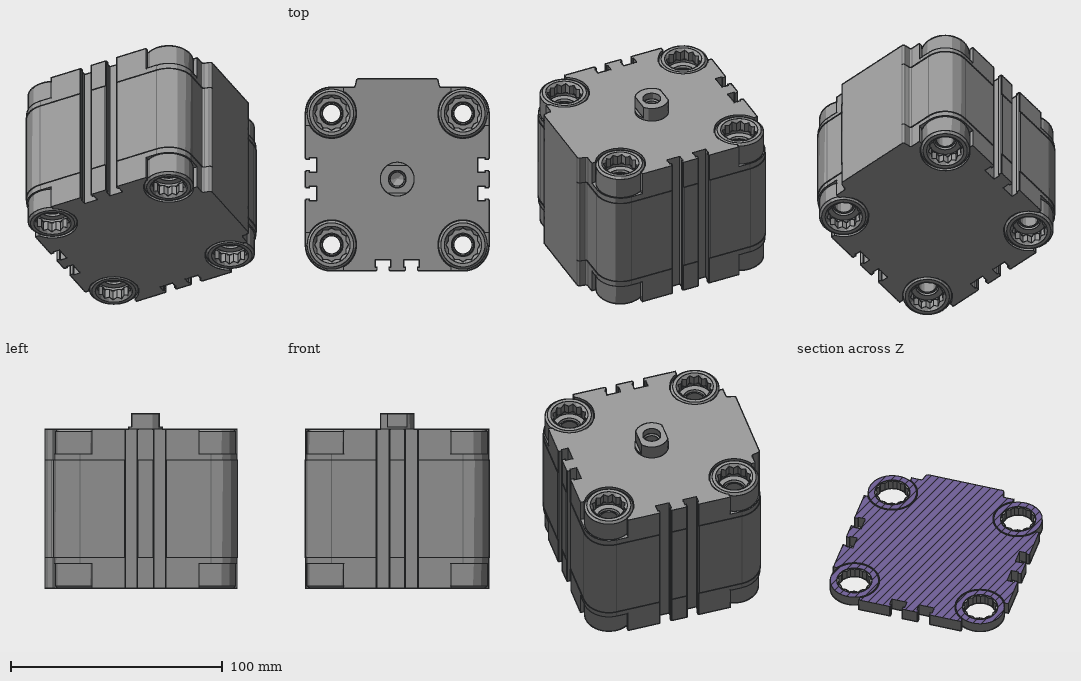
import cadquery as cq
import math

HOUSING_WIDTH = 87.0
OVERALL_DEPTH = 91
HOUSING_HEIGHT = 75.2
CAP_HEIGHT = 14.65
CAP_SETBACK = 0.3
CORNER_SPACING = 62.1
HALF_WIDTH = HOUSING_WIDTH / 2
CORNER_RADIUS = (HOUSING_WIDTH - CORNER_SPACING) / 2

RAIL_REACH = OVERALL_DEPTH - HALF_WIDTH
RAIL_BASE_WIDTH = 40
RAIL_TOP_WIDTH = 38.2
RAIL_EDGE_RADIUS = 1.3
RAIL_ROOT_RADIUS = 1.0
ROOT_SEARCH_MARGIN = 0.1

SLOT_SPACING = 13.5
SLOT_DEPTH = 5.4
SLOT_LIP_DEPTH = 2.0
SLOT_LIP_RADIUS = 0.5
SIDE_SLOT_OPENING = 5.3
SIDE_SLOT_WIDTH = 6.7
FRONT_SLOT_OPENING = 5.6
FRONT_SLOT_WIDTH = 7.3

BOSS_DIAMETER = 23.0
BOSS_HEIGHT = 11.65
BOSS_CHAMFER = 1.1
POCKET_DIAMETER = 23.7
POCKET_INNER_REACH = 5.7

SOCKET_MOUTH_DIAMETER = 17.6
SOCKET_CONE_HALF_ANGLE = 45
SOCKET_POINT_DIAMETER = 16.0
HEXAGON_TURN = 30
SOCKET_STAR_DEPTH = 6.1
SOCKET_FLOOR_DIAMETER = 16.5
SOCKET_DEPTH = 8.0

HOLE_DIAMETER = 8.55
HOLE_MOUTH_DIAMETER = 11.0
HOLE_LEDGE_DIAMETER = 10
HOLE_MOUTH_DEPTH = 1.0

ROD_DIAMETER = 16.0
ROD_PROTRUSION = 7.4
ROD_FLATS_WIDTH = 13.1
ROD_FLATS_LENGTH = 6.3
ROD_SEAT_DEPTH = CAP_HEIGHT
ROD_MOUTH_DIAMETER = 8.4
ROD_MOUTH_DEPTH = 3.3
ROD_CONE_DIAMETER = 8.0
ROD_CONE_DEPTH = 0.7
ROD_HOLE_DIAMETER = 6.6
ROD_HOLE_DEPTH = 14.6
DRILL_TIP_HALF_ANGLE = 59

ROD_BOTTOM = HOUSING_HEIGHT - ROD_SEAT_DEPTH
ROD_TOP = HOUSING_HEIGHT + ROD_PROTRUSION
CORNER_SIGNS = [(1, 1), (1, -1), (-1, 1), (-1, -1)]


def cylinder(diameter, bottom, height):
    return cq.Workplane("XY").workplane(offset=bottom).circle(diameter / 2).extrude(height)


def cone(bottom_diameter, top_diameter, bottom, height):
    """A truncated cone on the Z axis, or a pointed one if a diameter is 0."""
    solid = cq.Solid.makeCone(bottom_diameter / 2, top_diameter / 2, height, cq.Vector(0, 0, bottom))
    return cq.Workplane(obj=solid)


def at_both_ends(feature):
    """The feature at the top of the housing together with its mirror image at the bottom."""
    return feature.union(feature.mirror("XY", (0, 0, HOUSING_HEIGHT / 2)))


def outline_prism(setback, bottom, height):
    """A length of the rounded square, moved inward by the setback, with the rail on it."""
    width = HOUSING_WIDTH - 2 * setback
    face = width / 2
    square = (
        cq.Workplane("XY").workplane(offset=bottom).rect(width, width).extrude(height)
        .edges("|Z").fillet(CORNER_RADIUS - setback)
    )
    rail = (
        cq.Workplane("XY").workplane(offset=bottom)
        .polyline([
            (-RAIL_BASE_WIDTH / 2, 0),
            (-RAIL_BASE_WIDTH / 2, face),
            (-RAIL_TOP_WIDTH / 2, RAIL_REACH),
            (RAIL_TOP_WIDTH / 2, RAIL_REACH),
            (RAIL_BASE_WIDTH / 2, face),
            (RAIL_BASE_WIDTH / 2, 0),
        ])
        .close().extrude(height)
        .edges("|Z").edges(">Y").fillet(RAIL_EDGE_RADIUS)
    )
    body = square.union(rail)
    root = cq.selectors.BoxSelector(
        (-RAIL_BASE_WIDTH, face - ROOT_SEARCH_MARGIN, bottom),
        (RAIL_BASE_WIDTH, face + ROOT_SEARCH_MARGIN, bottom + height),
    )
    return body.edges("|Z").edges(root).fillet(RAIL_ROOT_RADIUS)


def slot_pair(opening, width):
    """Two T-slots running along Z, cut into the -Y face."""
    floor = -HALF_WIDTH + SLOT_DEPTH
    lip = -HALF_WIDTH + SLOT_LIP_DEPTH
    lip_curve_end = -HALF_WIDTH + SLOT_LIP_RADIUS
    mouth = opening + 2 * SLOT_LIP_RADIUS
    slot = (
        cq.Workplane("XY")
        .moveTo(mouth / 2, -HALF_WIDTH)
        .radiusArc((opening / 2, lip_curve_end), -SLOT_LIP_RADIUS)
        .lineTo(opening / 2, lip)
        .lineTo(width / 2, lip)
        .lineTo(width / 2, floor)
        .lineTo(-width / 2, floor)
        .lineTo(-width / 2, lip)
        .lineTo(-opening / 2, lip)
        .lineTo(-opening / 2, lip_curve_end)
        .radiusArc((-mouth / 2, -HALF_WIDTH), -SLOT_LIP_RADIUS)
        .close().extrude(HOUSING_HEIGHT)
    )
    return slot.translate((-SLOT_SPACING / 2, 0, 0)).union(slot.translate((SLOT_SPACING / 2, 0, 0)))


def cut_slots(housing):
    side_slots = slot_pair(SIDE_SLOT_OPENING, SIDE_SLOT_WIDTH)
    for angle in (-90, 90):
        housing = housing.cut(side_slots.rotate((0, 0, 0), (0, 0, 1), angle))
    return housing.cut(slot_pair(FRONT_SLOT_OPENING, FRONT_SLOT_WIDTH))


def boss_clearance():
    """Material removed around the top boss of the +X +Y corner, with the boss on the Z axis."""
    bottom = HOUSING_HEIGHT - BOSS_HEIGHT
    boss = cylinder(BOSS_DIAMETER, bottom, BOSS_HEIGHT).faces(">Z").chamfer(BOSS_CHAMFER)
    side = CORNER_RADIUS + POCKET_INNER_REACH
    centre = (CORNER_RADIUS - POCKET_INNER_REACH) / 2
    corner_block = (
        cq.Workplane("XY").workplane(offset=bottom)
        .center(centre, centre).rect(side, side).extrude(BOSS_HEIGHT)
    )
    return corner_block.union(cylinder(POCKET_DIAMETER, bottom, BOSS_HEIGHT)).cut(boss)


def socket():
    """Conical mouth, twelve-point star and round floor recess of one top boss, on the Z axis."""
    cone_depth = SOCKET_MOUTH_DIAMETER / 2 / math.tan(math.radians(SOCKET_CONE_HALF_ANGLE))
    star_bottom = HOUSING_HEIGHT - SOCKET_STAR_DEPTH
    floor = HOUSING_HEIGHT - SOCKET_DEPTH
    recess = cylinder(SOCKET_FLOOR_DIAMETER, floor, star_bottom - floor)
    mouth = cone(0, SOCKET_MOUTH_DIAMETER, HOUSING_HEIGHT - cone_depth, cone_depth)
    hexagon = (
        cq.Workplane("XY").workplane(offset=star_bottom)
        .polygon(6, SOCKET_POINT_DIAMETER).extrude(SOCKET_STAR_DEPTH)
    )
    star = hexagon.union(hexagon.rotate((0, 0, 0), (0, 0, 1), HEXAGON_TURN))
    return recess, star, mouth


def hole_mouth():
    """Tapered mouth from the socket floor down to a flat ledge around the corner hole."""
    ledge = HOUSING_HEIGHT - SOCKET_DEPTH - HOLE_MOUTH_DEPTH
    return cone(HOLE_LEDGE_DIAMETER, HOLE_MOUTH_DIAMETER, ledge, HOLE_MOUTH_DEPTH)


def build_housing():
    middle_height = HOUSING_HEIGHT - 2 * CAP_HEIGHT
    housing = outline_prism(CAP_SETBACK, 0, HOUSING_HEIGHT)
    housing = housing.union(outline_prism(0, CAP_HEIGHT, middle_height))
    housing = cut_slots(housing)
    clearance = at_both_ends(boss_clearance())
    bore_parts = [at_both_ends(part) for part in (*socket(), hole_mouth())]
    bore_parts.append(cylinder(HOLE_DIAMETER, 0, HOUSING_HEIGHT))
    for sx, sy in CORNER_SIGNS:
        place = (sx * CORNER_SPACING / 2, sy * CORNER_SPACING / 2, 0)
        turned = clearance
        if sx < 0:
            turned = turned.mirror("YZ")
        if sy < 0:
            turned = turned.mirror("XZ")
        housing = housing.cut(turned.translate(place))
        for part in bore_parts:
            housing = housing.cut(part.translate(place))
    return housing.cut(cylinder(ROD_DIAMETER, ROD_BOTTOM, ROD_SEAT_DEPTH))


def build_rod():
    rod = cylinder(ROD_DIAMETER, ROD_BOTTOM, ROD_TOP - ROD_BOTTOM)
    flats_bottom = ROD_TOP - ROD_FLATS_LENGTH
    flat_cut = (
        cq.Workplane("XY").workplane(offset=flats_bottom)
        .rect(ROD_DIAMETER, ROD_DIAMETER).rect(ROD_DIAMETER, ROD_FLATS_WIDTH)
        .extrude(ROD_FLATS_LENGTH)
    )
    rod = rod.cut(flat_cut)

    mouth_bottom = ROD_TOP - ROD_MOUTH_DEPTH
    hole_bottom = ROD_TOP - ROD_HOLE_DEPTH
    tip_depth = ROD_HOLE_DIAMETER / 2 / math.tan(math.radians(DRILL_TIP_HALF_ANGLE))
    rod = rod.cut(cylinder(ROD_MOUTH_DIAMETER, mouth_bottom, ROD_MOUTH_DEPTH))
    rod = rod.cut(cone(
        ROD_HOLE_DIAMETER, ROD_CONE_DIAMETER, mouth_bottom - ROD_CONE_DEPTH, ROD_CONE_DEPTH
    ))
    rod = rod.cut(cylinder(ROD_HOLE_DIAMETER, hole_bottom, ROD_HOLE_DEPTH))
    return rod.cut(cone(0, ROD_HOLE_DIAMETER, hole_bottom - tip_depth, tip_depth))


housing = build_housing()
rod = build_rod()
result = cq.Compound.makeCompound([*housing.solids().vals(), *rod.solids().vals()])